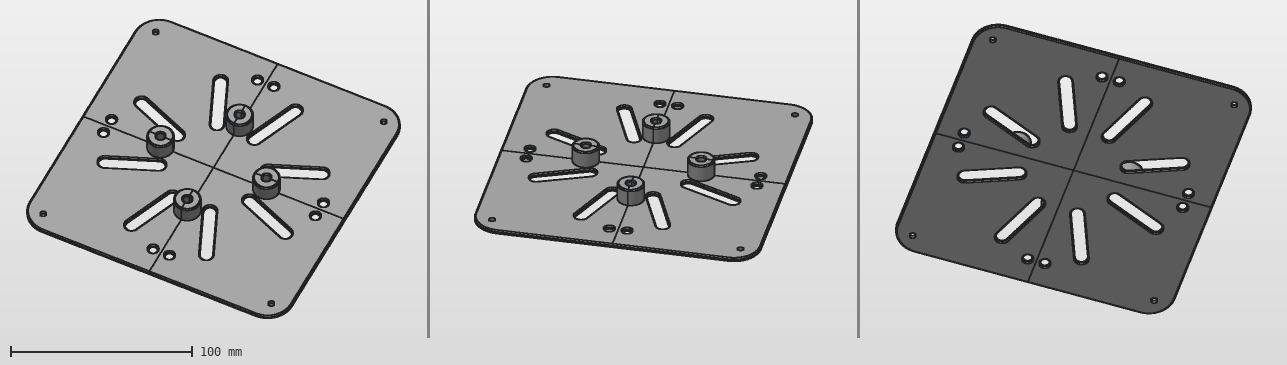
import cadquery as cq

PLATE_SIDE = 161.0
PLATE_THICKNESS = 2.5
CORNER_RADIUS = 15.0
HALF_SIDE = PLATE_SIDE / 2

RIM_CHAMFER = 0.75

BOSS_DIAMETER = 15.0
BOSS_HEIGHT = 10.0
BOSS_DISTANCE = 32.5
BOSS_HOLE_DIAMETER = 4.5
BOSS_HOLE_DEPTH = BOSS_HEIGHT
BOSS_TOP = PLATE_THICKNESS + BOSS_HEIGHT

SLOT_WIDTH = 7.0
SLOT_INNER_RADIUS = 30.0
SLOT_OUTER_RADIUS = 60.0
SLOT_ANGLES = (22.5, 67.5)

SEAM_HOLE_DIAMETER = 5.0
SEAM_HOLE_DISTANCE = 65.0
SEAM_HOLE_OFFSET = 5.0
CORNER_HOLE_DIAMETER = 3.5
CORNER_HOLE_POSITION = 70.0

QUARTER_COUNT = 4


def flare(profile, face, outward):
    """Cutter that breaks the rim of a profile where it meets a face.

    profile(plane, growth) draws the outline, enlarged all round by growth. The flare is widest
    on the face, and outward is +1 for a face that looks up and -1 for one that looks down.
    """
    mouth = profile(cq.Workplane("XY", origin=(0, 0, face)), RIM_CHAMFER)
    return mouth.extrude(-outward * RIM_CHAMFER, taper=45)


def round_profile(x, y, diameter):
    """Function that draws a round hole at (x, y)."""
    return lambda plane, growth: plane.center(x, y).circle(diameter / 2 + growth)


def slot_profile():
    """Function that draws a radial slot lying along +X."""
    middle = (SLOT_INNER_RADIUS + SLOT_OUTER_RADIUS) / 2
    length = SLOT_OUTER_RADIUS - SLOT_INNER_RADIUS + SLOT_WIDTH
    return lambda plane, growth: (
        plane.center(middle, 0).slot2D(length + 2 * growth, SLOT_WIDTH + 2 * growth)
    )


def through_cutter(profile):
    """Cutter through the plate, chamfered on the top and the underside."""
    cutter = profile(cq.Workplane("XY"), 0).extrude(PLATE_THICKNESS)
    cutter = cutter.union(flare(profile, PLATE_THICKNESS, 1))
    return cutter.union(flare(profile, 0, -1))


def boss_hole(x, y):
    """Cutter for the blind hole in a boss, chamfered at its mouth."""
    profile = round_profile(x, y, BOSS_HOLE_DIAMETER)
    floor = cq.Workplane("XY", origin=(0, 0, BOSS_TOP - BOSS_HOLE_DEPTH))
    bore = profile(floor, 0).extrude(BOSS_HOLE_DEPTH)
    return bore.union(flare(profile, BOSS_TOP, 1))


def full_plate():
    """Square plate with rounded corners and chamfered rims."""
    return (
        cq.Workplane("XY")
        .rect(PLATE_SIDE, PLATE_SIDE)
        .extrude(PLATE_THICKNESS)
        .edges("|Z")
        .fillet(CORNER_RADIUS)
        .faces("<Z or >Z")
        .edges()
        .chamfer(RIM_CHAMFER)
    )


def boss(x, y):
    """Round boss standing on the plate, chamfered around its top."""
    return (
        cq.Workplane("XY", origin=(x, y, 0))
        .circle(BOSS_DIAMETER / 2)
        .extrude(BOSS_TOP)
        .faces(">Z")
        .edges()
        .chamfer(RIM_CHAMFER)
    )


def quarter_plate():
    """Quarter in the +X +Y corner, with half a boss on each of its two seams."""
    boss_places = ((BOSS_DISTANCE, 0), (0, BOSS_DISTANCE))
    seam_hole_places = (
        (SEAM_HOLE_DISTANCE, SEAM_HOLE_OFFSET),
        (SEAM_HOLE_OFFSET, SEAM_HOLE_DISTANCE),
    )

    body = full_plate()
    for angle in SLOT_ANGLES:
        slot = through_cutter(slot_profile()).rotate((0, 0, 0), (0, 0, 1), angle)
        body = body.cut(slot)
    for x, y in boss_places:
        body = body.union(boss(x, y))
    for x, y in boss_places:
        body = body.cut(boss_hole(x, y))
    for x, y in seam_hole_places:
        body = body.cut(through_cutter(round_profile(x, y, SEAM_HOLE_DIAMETER)))

    corner_hole = round_profile(CORNER_HOLE_POSITION, CORNER_HOLE_POSITION, CORNER_HOLE_DIAMETER)
    body = body.cut(corner_hole(cq.Workplane("XY"), 0).extrude(PLATE_THICKNESS))

    corner_block = cq.Workplane("XY").box(HALF_SIDE, HALF_SIDE, BOSS_TOP, centered=False)
    return body.intersect(corner_block)


first_quarter = quarter_plate()
quarters = []
for index in range(QUARTER_COUNT):
    turn = index * 360 / QUARTER_COUNT
    quarters.append(first_quarter.rotate((0, 0, 0), (0, 0, 1), turn))

result = cq.Compound.makeCompound([quarter.solids().val() for quarter in quarters])